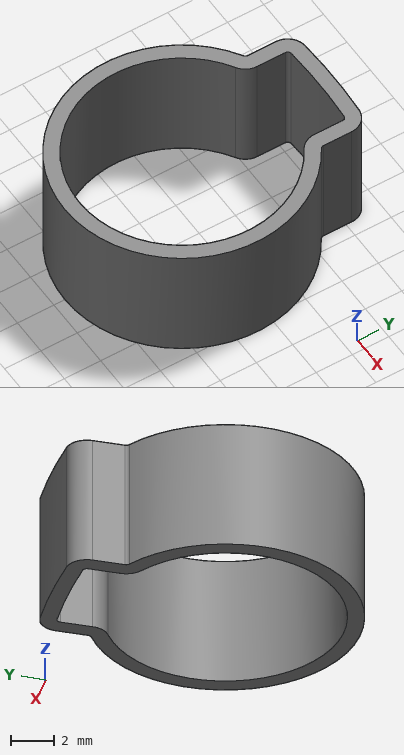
import cadquery as cq
import math

total_length = 14.79
ring_radius = 6.45
band_height = 6.5
wall = 0.8
ear_half_width = 3.24
neck_bend_radius = 0.2
corner_inner_radius = 0.2
crown_radius = 30.0

crown_top = total_length - ring_radius
crown_center_y = crown_top - crown_radius

neck_x = ear_half_width + neck_bend_radius
neck_y = math.sqrt((ring_radius + neck_bend_radius) ** 2 - neck_x**2)
corner_outer_radius = corner_inner_radius + wall
corner_x = ear_half_width - corner_outer_radius
corner_y = crown_center_y + math.sqrt((crown_radius - corner_outer_radius) ** 2 - corner_x**2)

neck_angle = math.atan2(neck_y, neck_x)
crown_angle = math.atan2(corner_y - crown_center_y, corner_x)


def on_arc(center_x, center_y, radius, angle):
    """Point of a circle at the given angle from +X."""
    return (center_x + radius * math.cos(angle), center_y + radius * math.sin(angle))


def mirrored(point):
    """The same point on the -X side of the clamp."""
    return (-point[0], point[1])


def outline_block(inset):
    """Solid block bounded by the outer face of the clamp moved inwards by the inset."""
    radius = ring_radius - inset
    leg_x = ear_half_width - inset
    neck_radius = neck_bend_radius + inset
    corner_radius = corner_outer_radius - inset

    neck_middle_angle = math.pi + neck_angle / 2
    ring_end = on_arc(0, 0, radius, neck_angle)
    neck_middle = on_arc(neck_x, neck_y, neck_radius, neck_middle_angle)
    leg_bottom = (leg_x, neck_y)
    leg_top = (leg_x, corner_y)
    corner_middle = on_arc(corner_x, corner_y, corner_radius, crown_angle / 2)
    crown_end = on_arc(corner_x, corner_y, corner_radius, crown_angle)

    return (
        cq.Workplane("XY")
        .moveTo(*mirrored(ring_end))
        .threePointArc((0, -radius), ring_end)
        .threePointArc(neck_middle, leg_bottom)
        .lineTo(*leg_top)
        .threePointArc(corner_middle, crown_end)
        .threePointArc((0, crown_top - inset), mirrored(crown_end))
        .threePointArc(mirrored(corner_middle), mirrored(leg_top))
        .lineTo(*mirrored(leg_bottom))
        .threePointArc(mirrored(neck_middle), mirrored(ring_end))
        .close()
        .extrude(band_height)
    )


result = outline_block(0).cut(outline_block(wall))